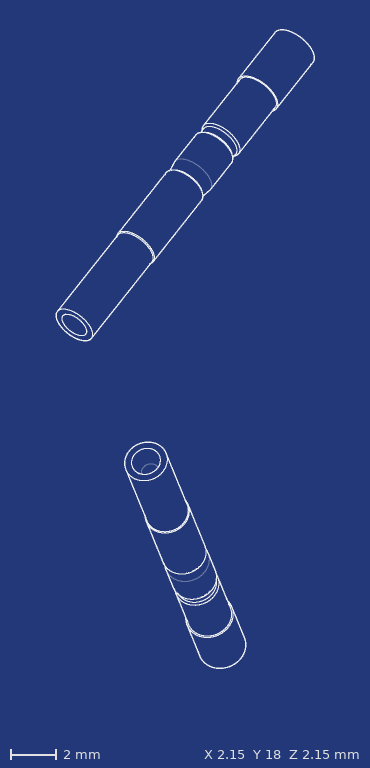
import cadquery as cq
import math

length = 18.0
head_diameter = 2.15
body_diameter = 2.0
collar_diameter = 2.02
groove_diameter = 1.82
nose_diameter = 1.93

head_end = 3.0
rear_body_end = 6.0
groove_width = 0.6
groove_chamfer = 0.1
taper_start = 8.32
taper_end = 8.93
front_body_start = 9.02
front_body_end = 13.0
nose_chamfer = 0.05

mouth_diameter = 1.3
mouth_depth = 1.0
hole_diameter = 0.8
hole_depth = length - front_body_end
drill_tip_angle = 118.0

back_y = length / 2
front_y = -length / 2


def revolve_about_y(profile):
    """Turn (y, radius) points, whose closing side lies on the axis, into a solid of revolution."""
    return cq.Workplane("YZ").polyline(profile).close().revolve(360, (0, 0, 0), (1, 0, 0))


def turned_body():
    """Stepped outer shape with the relief groove and the tapered collar."""
    head_radius = head_diameter / 2
    body_radius = body_diameter / 2
    collar_radius = collar_diameter / 2
    groove_radius = groove_diameter / 2
    nose_radius = nose_diameter / 2
    groove_end = rear_body_end + groove_width
    outline = [
        (0, 0),
        (0, head_radius),
        (head_end, head_radius),
        (head_end, body_radius),
        (rear_body_end, body_radius),
        (rear_body_end + groove_chamfer, groove_radius),
        (groove_end - groove_chamfer, groove_radius),
        (groove_end, collar_radius),
        (taper_start, collar_radius),
        (taper_end, groove_radius),
        (front_body_start, body_radius),
        (front_body_end, body_radius),
        (front_body_end + nose_chamfer, nose_radius),
        (length, nose_radius),
        (length, 0),
    ]
    return revolve_about_y([(back_y - station, radius) for station, radius in outline])


def blind_hole():
    """Conical mouth leading into a round hole with a drill-point bottom."""
    hole_radius = hole_diameter / 2
    tip_length = hole_radius / math.tan(math.radians(drill_tip_angle / 2))
    outline = [
        (0, 0),
        (0, mouth_diameter / 2),
        (mouth_depth, hole_radius),
        (hole_depth, hole_radius),
        (hole_depth + tip_length, 0),
    ]
    return revolve_about_y([(front_y + depth, radius) for depth, radius in outline])


result = turned_body().cut(blind_hole())